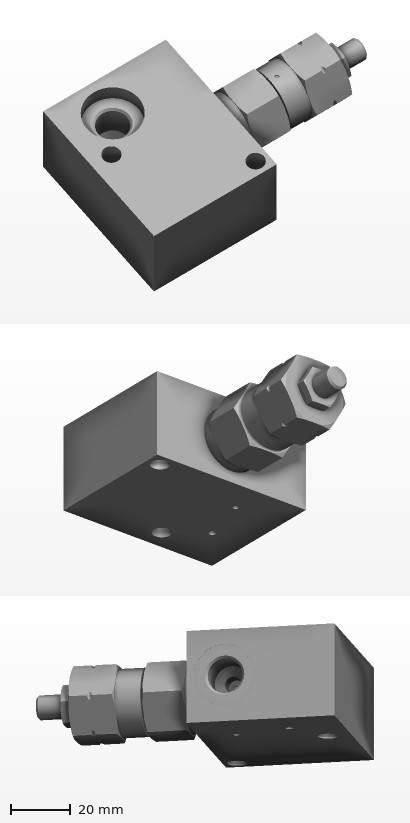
import cadquery as cq
import math

total_length = 108.4

block_width = 63.5
block_length = 50.7
block_height = 31.8
left_face = -block_width / 2
top_face = block_height / 2

mount_diameter = 6.8
corner_hole_x = 26.5
corner_hole_y = -5.0
side_hole_x = -3.9
side_hole_y = -42.6

port_diameter = 13.4
port_core_diameter = 11.9
port_depth = 11.9
port_chamfer = (port_diameter - port_core_diameter) / 2
drill_point_angle = 118.0
spotface_diameter = 21.5

top_port_x = -17.5
top_port_y = -32.3
top_spotface_depth = 6.2
top_passage_diameter = 2.6

side_port_y = -13.1
side_spotface_depth = 0.1
side_passage_diameter = 5.6
side_passage_depth = 19.5
cross_drill_diameter = 2.2
cross_drill_top = 1.0

base_end = 5.0
lower_hex_end = 19.3
neck_end = 20.2
collar_end = 28.8
upper_hex_end = 44.8
nut_end = 48.7
stem_end = total_length - block_length

collar_diameter = 23.3
neck_diameter = 17.8
stem_diameter = 8.3
stem_chamfer = 0.8
hex_flats = 24.1
hex_chamfer_drop = 0.7
nut_flats = 13.0
nut_chamfer_drop = 0.3
chamfer_circle_ratio = 1.02

notch_diameter = 1.5
notch_y = 37.2
notch_length = 6.5
dimple_diameter = 1.6
dimple_depth = 0.5
dimple_y = 23.0


def cylinder_y(diameter, start, end):
    """Cylinder on the cartridge axis between two Y positions."""
    origin = cq.Vector(0, start, 0)
    return cq.Workplane(cq.Solid.makeCylinder(diameter / 2, end - start, origin, cq.Vector(0, 1, 0)))


def hexagon_y(flats, start, end, chamfer_drop):
    """Hexagon with corners on +X and -X, its corners turned down at both ends."""
    corner_radius = flats / math.sqrt(3)
    end_radius = chamfer_circle_ratio * flats / 2
    prism = (
        cq.Workplane("XZ", origin=(0, start, 0))
        .polygon(6, 2 * corner_radius)
        .extrude(start - end)
    )
    envelope = (
        cq.Workplane("XY")
        .polyline([
            (0, start),
            (end_radius, start),
            (corner_radius, start + chamfer_drop),
            (corner_radius, end - chamfer_drop),
            (end_radius, end),
            (0, end),
        ])
        .close()
        .revolve(360, (0, 0, 0), (0, 1, 0))
    )
    return prism.intersect(envelope)


def port_cutter(spotface_depth, passage_diameter, passage_depth):
    """Stepped port bored down from Z = 0: spotface, chamfer, core, drill point, passage."""
    core_radius = port_core_diameter / 2
    passage_radius = passage_diameter / 2
    core_end = spotface_depth + port_depth
    point_length = (core_radius - passage_radius) / math.tan(math.radians(drill_point_angle / 2))
    return (
        cq.Workplane("XZ")
        .polyline([
            (0, 0),
            (spotface_diameter / 2, 0),
            (spotface_diameter / 2, -spotface_depth),
            (port_diameter / 2, -spotface_depth),
            (core_radius, -spotface_depth - port_chamfer),
            (core_radius, -core_end),
            (passage_radius, -core_end - point_length),
            (passage_radius, -passage_depth),
            (0, -passage_depth),
        ])
        .close()
        .revolve(360, (0, 0, 0), (0, 1, 0))
    )


def make_block():
    block = cq.Workplane("XY").box(block_width, block_length, block_height)
    block = block.translate((0, -block_length / 2, 0))

    mount_holes = (
        cq.Workplane("XY", origin=(0, 0, -top_face))
        .pushPoints([(corner_hole_x, corner_hole_y), (side_hole_x, side_hole_y)])
        .circle(mount_diameter / 2)
        .extrude(block_height)
    )

    top_port = port_cutter(top_spotface_depth, top_passage_diameter, block_height)
    top_port = top_port.translate((top_port_x, top_port_y, top_face))

    side_port = port_cutter(side_spotface_depth, side_passage_diameter, side_passage_depth)
    side_port = side_port.rotate((0, 0, 0), (0, 1, 0), -90).translate((left_face, side_port_y, 0))

    cross_drill = (
        cq.Workplane("XY", origin=(left_face + side_passage_depth, side_port_y, -top_face))
        .circle(cross_drill_diameter / 2)
        .extrude(top_face + cross_drill_top)
    )
    return block.cut(mount_holes).cut(top_port).cut(side_port).cut(cross_drill)


def cut_seal_notches(body):
    """Cut a round notch tangentially across each corner of the upper hexagon."""
    corner_radius = hex_flats / math.sqrt(3)
    notch = (
        cq.Workplane("XY", origin=(corner_radius, notch_y, 0))
        .circle(notch_diameter / 2)
        .extrude(notch_length / 2, both=True)
    )
    for corner in range(6):
        body = body.cut(notch.rotate((0, 0, 0), (0, 1, 0), 60 * corner))
    return body


def make_cartridge():
    body = cylinder_y(collar_diameter, 0, base_end)
    body = body.union(hexagon_y(hex_flats, base_end, lower_hex_end, hex_chamfer_drop))
    body = body.union(cylinder_y(neck_diameter, lower_hex_end, neck_end))
    body = body.union(cylinder_y(collar_diameter, neck_end, collar_end))
    body = body.union(hexagon_y(hex_flats, collar_end, upper_hex_end, hex_chamfer_drop))
    body = body.union(hexagon_y(nut_flats, upper_hex_end, nut_end, nut_chamfer_drop))
    stem = cylinder_y(stem_diameter, nut_end, stem_end).faces(">Y").chamfer(stem_chamfer)
    body = cut_seal_notches(body.union(stem))

    dimple = (
        cq.Workplane("XY", origin=(0, dimple_y, collar_diameter / 2 - dimple_depth))
        .circle(dimple_diameter / 2)
        .extrude(2 * dimple_depth)
    )
    return body.cut(dimple)


result = make_block().union(make_cartridge())